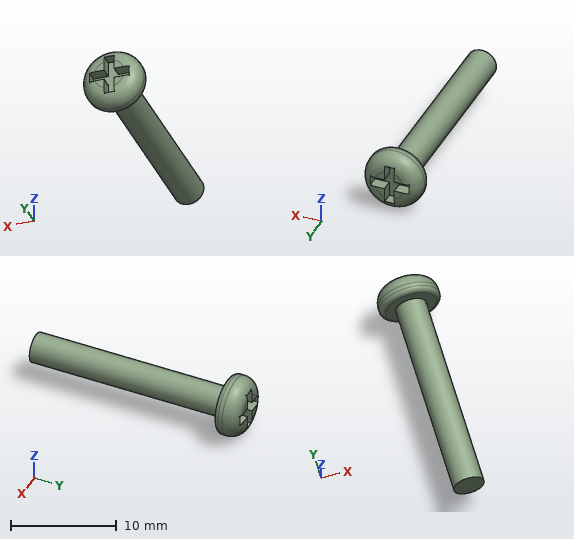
import cadquery as cq

total_length = 22.4
head_diameter = 6.0
shank_diameter = head_diameter / 2
head_height = 2.4

dome_radius = 1.5
underside_radius = 0.5

recess_span = 3.99
recess_width = 1.0
recess_depth = 1.2

head_top = total_length / 2
head_bottom = head_top - head_height
shank_end = -total_length / 2


def cylinder_along_y(diameter, start, length):
    """Cylinder about the Y axis, growing from start toward +Y."""
    plane = cq.Workplane("XZ", origin=(0, start, 0))
    return plane.circle(diameter / 2).extrude(-length)


def make_head():
    head = cylinder_along_y(head_diameter, head_bottom, head_height)
    head = head.faces(">Y").edges().fillet(dome_radius)
    return head.faces("<Y").edges().fillet(underside_radius)


def make_cross_recess():
    plane = cq.Workplane("XZ", origin=(0, head_top, 0))
    slot_along_x = plane.rect(recess_span, recess_width).extrude(recess_depth)
    slot_along_z = plane.rect(recess_width, recess_span).extrude(recess_depth)
    return slot_along_x.union(slot_along_z)


shank = cylinder_along_y(shank_diameter, shank_end, total_length - head_height)
result = make_head().union(shank).cut(make_cross_recess())